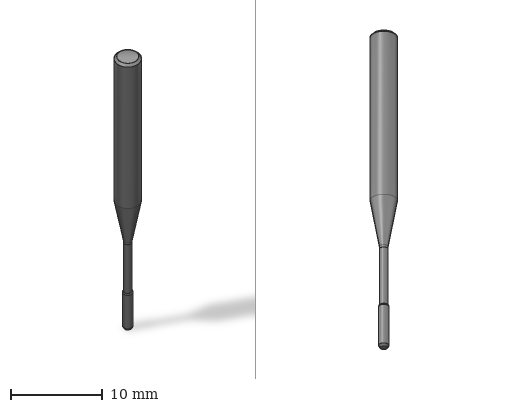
import cadquery as cq
import math


overall_length = 38.0
shank_diameter = 3.0
shank_length = 20.1
shank_chamfer = 0.3

stub_length = 0.3
neck_diameter = 0.96

tip_length = 12.0
head_diameter = 1.16
head_length = 5.0
shoulder_half_angle = 30.0
end_chamfer_length = 0.3
end_chamfer_angle = 30.0

shank_radius = shank_diameter / 2
neck_radius = neck_diameter / 2
head_radius = head_diameter / 2

taper_bottom = tip_length + stub_length
taper_top = overall_length - shank_length
shoulder_length = (head_radius - neck_radius) / math.tan(math.radians(shoulder_half_angle))
end_chamfer_width = end_chamfer_length * math.tan(math.radians(end_chamfer_angle))


def revolve_about_z(profile):
    """Turn a closed radius-height profile, drawn on the XZ plane, about the Z axis."""
    return profile.revolve(360, (0, 0, 0), (0, 1, 0))


def make_shank():
    """Chamfered cylinder tapering down to a short stub of neck diameter."""
    profile = (
        cq.Workplane("XZ")
        .moveTo(0, tip_length)
        .lineTo(neck_radius, tip_length)
        .lineTo(neck_radius, taper_bottom)
        .lineTo(shank_radius, taper_top)
        .lineTo(shank_radius, overall_length - shank_chamfer)
        .lineTo(shank_radius - shank_chamfer, overall_length)
        .lineTo(0, overall_length)
        .close()
    )
    return revolve_about_z(profile)


def make_cutting_tip():
    """Slim neck widening over a conical shoulder to a head with a chamfered lower end."""
    profile = (
        cq.Workplane("XZ")
        .moveTo(0, 0)
        .lineTo(head_radius - end_chamfer_width, 0)
        .lineTo(head_radius, end_chamfer_length)
        .lineTo(head_radius, head_length)
        .lineTo(neck_radius, head_length + shoulder_length)
        .lineTo(neck_radius, tip_length)
        .lineTo(0, tip_length)
        .close()
    )
    return revolve_about_z(profile)


shank = make_shank()
cutting_tip = make_cutting_tip()

result = cq.Compound.makeCompound([shank.val(), cutting_tip.val()])